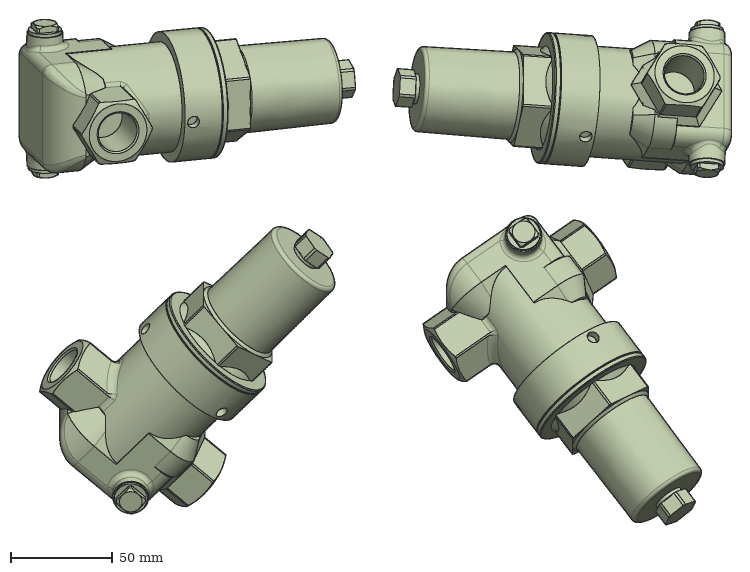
import cadquery as cq
import math


port_span = 95.0
plug_span = 79.0
body_bottom = -28.8
length = 164.5
screw_top = body_bottom + length

screw_height = 8.0
screw_flats = 17.0
screw_corner_dia = 18.8
screw_turn = 45.0
neck_dia = 15.0
cap_top = 125.5
cap_top_dia = 42.3
cap_base_dia = 43.5
cap_round = 2.0
nut_top = 76.5
nut_shoulder_top = 78.0
nut_flats = 46.4
nut_corner_dia = 53.0
nut_flare_dia = 51.7
nut_flare_height = 3.0
collar_top = 62.2
collar_bottom = 39.7
collar_dia = 65.0
collar_groove_dia = 64.0
collar_groove_width = 0.5
collar_groove_top = 59.5
collar_chamfer = 0.5
barrel_dia = 55.0
barrel_bottom = -23.0

spanner_hole_dia = 6.1
spanner_hole_depth = 4.1
spanner_hole_y = 44.1
spanner_hole_first_angle = 113.6
spanner_hole_count = 3

chamber_half_depth = 27.8
chamber_left = -27.6
chamber_right = 32.9
chamber_step = 0.0
inlet_lobe_top = 11.5
inlet_lobe_end = -30.8
outlet_lobe_top = -12.0
lobe_round_start = 14.8
lobe_end_half_depth = 16.1
inlet_taper_height = 9.9
outlet_taper_height = 13.2
lobe_taper_angle = 30.0
sweep_start = 14.8
chamber_corner_round = 8.2
chamber_round = 4.8

port_flats = 32.3
port_corner_dia = 36.7
port_face_dia = 30.0
port_chamfer_height = 1.6
port_bore_dia = 20.0
port_bore_mouth_dia = 21.7
port_bore_depth = 24.7
port_root_round = 4.1
joint_margin = 0.8
inlet_flare_size = 3.8

plug_x = -15.3
plug_y = -18.0
boss_root_dia = 20.7
boss_shank_dia = 17.8
boss_rim_dia = 16.5
boss_rim_height = 1.6
boss_top = 36.2
boss_foot_round = 2.8
plug_square = 11.2
plug_corner_chamfer = 1.0
plug_crown_slope = 0.58


def disc(y_low, y_high, dia_low, dia_high=None):
    """Cylinder or cone on the main axis between two heights."""
    r_low = dia_low / 2
    r_high = (dia_high or dia_low) / 2
    profile = [(0, y_low), (r_low, y_low), (r_high, y_high), (0, y_high)]
    return cq.Workplane("XY").polyline(profile).close().revolve(360, (0, 0), (0, 1))


def hexagon_corners(flats):
    """Distance across the corners of a hexagon from the distance across its flats."""
    return flats / math.cos(math.pi / 6)


def hexagon(plane, flats, height, turn=0):
    """Hexagonal prism; turn = 0 puts a corner on the plane's local x axis."""
    return plane.transformed(rotate=(0, 0, turn)).polygon(6, hexagon_corners(flats)).extrude(height)


def make_stack():
    """Barrel, collar, nut, cap and adjusting screw."""
    screw_base = screw_top - screw_height
    screw = hexagon(cq.Workplane("ZX", origin=(0, screw_base, 0)), screw_flats, screw_height, screw_turn)
    screw = screw.intersect(disc(screw_base, screw_top, screw_corner_dia))
    neck = disc(cap_top - cap_round, screw_base, neck_dia)
    cap = disc(nut_top, cap_top, cap_base_dia, cap_top_dia).faces(">Y").edges().fillet(cap_round)
    shoulder = disc(nut_top, nut_shoulder_top, nut_flats, cap_base_dia)
    nut = hexagon(cq.Workplane("ZX", origin=(0, collar_top, 0)), nut_flats, nut_top - collar_top)
    nut = nut.intersect(disc(collar_top, nut_top, nut_corner_dia))
    flare = disc(collar_top, collar_top + nut_flare_height, nut_flare_dia, nut_flats)
    collar = disc(collar_bottom, collar_top, collar_dia).faces(">Y").edges().chamfer(collar_chamfer)
    groove_bottom = collar_groove_top - collar_groove_width
    groove = disc(groove_bottom, collar_groove_top, collar_dia)
    groove = groove.cut(disc(groove_bottom, collar_groove_top, collar_groove_dia))
    collar = collar.cut(groove)
    barrel = disc(barrel_bottom, collar_bottom, barrel_dia)
    stack = collar
    for piece in (barrel, flare, nut, shoulder, cap, neck, screw):
        stack = stack.union(piece)
    return stack


def spanner_holes():
    """Blind radial holes spaced evenly around the collar."""
    holes = []
    floor = collar_dia / 2 - spanner_hole_depth
    for index in range(spanner_hole_count):
        angle = spanner_hole_first_angle + index * 360 / spanner_hole_count
        hole = cq.Workplane("YZ", origin=(floor, spanner_hole_y, 0)).circle(spanner_hole_dia / 2)
        hole = hole.extrude(2 * spanner_hole_depth).rotate((0, 0, 0), (0, 1, 0), -angle)
        holes.append(hole)
    return holes


def lobe(end_x, y_low, y_high, taper=0):
    """Rounded lobe from the middle of the chamber out to one X side; tapered lobes narrow upwards."""
    side = math.copysign(1, end_x)
    round_start = side * lobe_round_start
    run = end_x - round_start
    drop = chamber_half_depth - lobe_end_half_depth
    tangent_radius = -side * (run ** 2 + drop ** 2) / (2 * drop)
    outline = (
        cq.Workplane("ZX", origin=(0, y_low, 0))
        .moveTo(chamber_half_depth, 0)
        .lineTo(chamber_half_depth, round_start)
        .radiusArc((lobe_end_half_depth, end_x), tangent_radius)
        .lineTo(-lobe_end_half_depth, end_x)
        .radiusArc((-chamber_half_depth, round_start), tangent_radius)
        .lineTo(-chamber_half_depth, 0)
        .close()
    )
    return outline.extrude(y_high - y_low, taper=taper)


def make_chamber():
    """Cast chamber with its plug bosses and the lobes towards the two ports."""
    height = chamber_step - body_bottom
    block = cq.Workplane("XY").box(
        -chamber_left, height, 2 * chamber_half_depth, centered=(False, False, True))
    block = block.translate((chamber_left, body_bottom, 0))
    block = block.faces("<X").edges("|Y").fillet(chamber_corner_round)
    side = (
        cq.Workplane("XY", origin=(0, 0, -chamber_half_depth))
        .moveTo(chamber_left, body_bottom)
        .lineTo(sweep_start, body_bottom)
        .tangentArcPoint((chamber_right, outlet_lobe_top), relative=False)
        .lineTo(0, outlet_lobe_top)
        .lineTo(0, chamber_step)
        .lineTo(chamber_left, chamber_step)
        .close()
        .extrude(2 * chamber_half_depth)
    )
    chamber = block.union(lobe(chamber_right, body_bottom, chamber_step)).clean()
    chamber = chamber.intersect(side).clean()
    chamber = chamber.faces("<Y").edges("not >X").fillet(chamber_round)

    boss = make_boss()
    chamber = chamber.union(boss).union(boss.mirror("XY"))
    near_chamber = cq.selectors.BoxSelector(
        (-port_span, -length, -chamber_half_depth - boss_foot_round),
        (port_span, length, chamber_half_depth + boss_foot_round),
    )
    boss_feet = chamber.faces("%CONE").edges(near_chamber)
    chamber = boss_feet.fillet(boss_foot_round)

    inlet_shoulder = inlet_lobe_top + inlet_taper_height
    outlet_shoulder = outlet_lobe_top + outlet_taper_height
    lobes = [
        lobe(inlet_lobe_end, chamber_step, inlet_lobe_top),
        lobe(inlet_lobe_end, inlet_lobe_top, inlet_shoulder, lobe_taper_angle),
        lobe(chamber_right, outlet_lobe_top, outlet_shoulder, lobe_taper_angle),
    ]
    for piece in lobes:
        chamber = chamber.union(piece)
    return chamber


def make_port():
    """Hexagonal pipe end on the +X side, rounded into the barrel."""
    face_x = port_span / 2
    barrel = hexagon(cq.Workplane("YZ"), port_flats, face_x)
    envelope = cq.Workplane("YZ").circle(port_corner_dia / 2).extrude(face_x)
    face_bevel = (port_corner_dia - port_face_dia) / 2
    envelope = envelope.faces(">X").edges().chamfer(port_chamfer_height, face_bevel)

    root = disc(barrel_bottom, collar_bottom, barrel_dia).rotate((0, 0, 0), (0, 1, 0), 180)
    root = root.union(barrel.intersect(envelope))
    reach = -barrel_bottom - joint_margin
    joint = cq.selectors.BoxSelector(
        (port_flats / 2, -reach, -reach),
        (barrel_dia / 2 + joint_margin, reach, reach),
    )
    return root.edges(joint).edges("not |X").fillet(port_root_round)


def inlet_flare():
    """Widening of the inlet hexagon where it meets the flat chamber side."""
    root_flats = port_flats + 2 * inlet_flare_size
    return (
        cq.Workplane("YZ", origin=(chamber_left, 0, 0))
        .polygon(6, hexagon_corners(root_flats))
        .workplane(offset=-inlet_flare_size)
        .polygon(6, hexagon_corners(port_flats))
        .loft(ruled=True)
    )


def port_bore():
    """Blind bore of the +X port with a chamfered mouth."""
    face_x = port_span / 2
    mouth_depth = (port_bore_mouth_dia - port_bore_dia) / 2
    bore = cq.Workplane("YZ", origin=(face_x - port_bore_depth, 0, 0))
    bore = bore.circle(port_bore_dia / 2).extrude(port_bore_depth)
    mouth_profile = [
        (face_x - mouth_depth, 0),
        (face_x - mouth_depth, port_bore_dia / 2),
        (face_x, port_bore_mouth_dia / 2),
        (face_x, 0),
    ]
    mouth = cq.Workplane("XY").polyline(mouth_profile).close().revolve(360, (0, 0), (1, 0))
    return bore.union(mouth)


def make_boss():
    """Tapered boss on the +Z side, with a narrower rim at its top."""
    shank_top = boss_top - boss_rim_height
    profile = [
        (0, 0),
        (boss_root_dia / 2, 0),
        (boss_shank_dia / 2, shank_top),
        (boss_rim_dia / 2, shank_top),
        (boss_rim_dia / 2, boss_top),
        (0, boss_top),
    ]
    boss = cq.Workplane("XZ").polyline(profile).close().revolve(360, (0, 0), (0, 1))
    return boss.translate((plug_x, plug_y, 0))


def make_plug():
    """Square plug head on the +Z side, its top corners bevelled by a cone."""
    half_square = plug_square / 2
    half_span = plug_span / 2
    square = cq.Workplane("XY").rect(plug_square, plug_square).extrude(half_span)
    square = square.edges("|Z").chamfer(plug_corner_chamfer)
    crown_profile = [
        (0, 0),
        (plug_square, 0),
        (plug_square, half_span - half_square * plug_crown_slope),
        (half_square, half_span),
        (0, half_span),
    ]
    crown = cq.Workplane("XZ").polyline(crown_profile).close().revolve(360, (0, 0), (0, 1))
    return square.intersect(crown).translate((plug_x, plug_y, 0))


result = make_stack().union(make_chamber())
port = make_port()
plug = make_plug()
result = result.union(port).union(port.mirror("YZ")).union(inlet_flare())
result = result.union(plug).union(plug.mirror("XY"))
bore = port_bore()
result = result.cut(bore).cut(bore.mirror("YZ"))
for hole in spanner_holes():
    result = result.cut(hole)